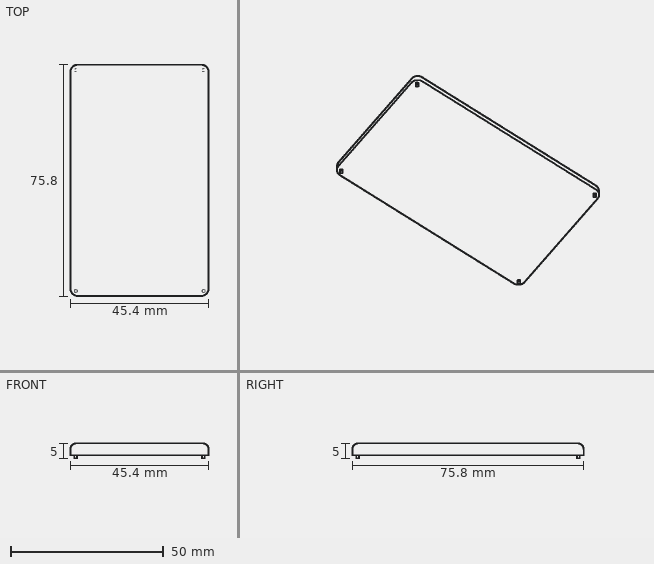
import cadquery as cq

width = 45.37
length = 75.85
overall_height = 5.0

pin_diameter = 1.0
pin_height = 1.0
pin_inset = 1.75

plate_thickness = overall_height - pin_height
corner_radius = 2.5
top_fillet_radius = 2.0


def make_plate():
    """Flat card-shaped plate with rounded corners and a rounded top rim."""
    plate = cq.Workplane("XY").box(width, length, plate_thickness, centered=(True, True, False))
    plate = plate.edges("|Z").fillet(corner_radius)
    return plate.faces(">Z").edges().fillet(top_fillet_radius)


def make_pins():
    """Four round pins hanging from the underside, one at each corner."""
    pin_spacing_x = width - 2 * pin_inset
    pin_spacing_y = length - 2 * pin_inset
    return (
        cq.Workplane("XY")
        .rect(pin_spacing_x, pin_spacing_y, forConstruction=True)
        .vertices()
        .circle(pin_diameter / 2)
        .extrude(-pin_height)
    )


result = make_plate().union(make_pins())